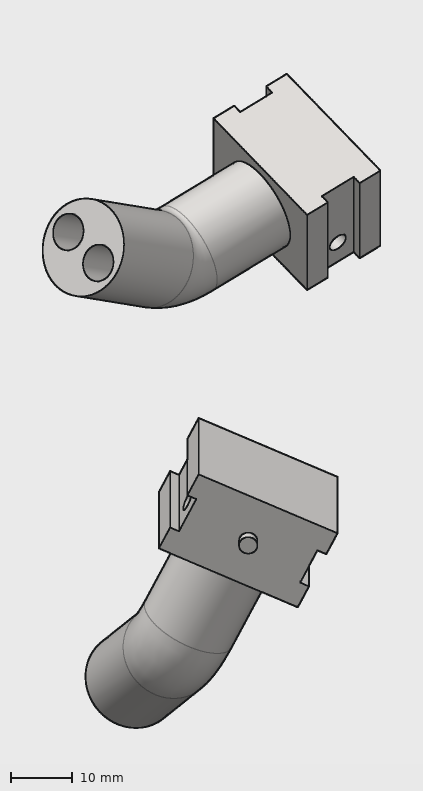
import cadquery as cq
import math

block_width = 25.0
block_depth = 15.0
block_height = 20.0

groove_width = 6.5
groove_depth = 1.6

cross_hole_diameter = 3.3
cross_hole_height = 5.15

pin_diameter = 3.0
pin_length = 1.6

arm_diameter = 16.0
neck_length = 15.0
bend_radius = 10.0
bend_angle = 45.0
end_length = 20.0

bore_diameter = 6.0
bore_spacing = 8.0
bore_depth = end_length

bend_angle_rad = math.radians(bend_angle)
axis_height = block_height / 2
block_front_y = -block_depth / 2
bend_start_y = block_front_y - neck_length
bend_end_y = bend_start_y - bend_radius * math.sin(bend_angle_rad)
bend_end_z = axis_height + bend_radius * (1 - math.cos(bend_angle_rad))
end_direction = cq.Vector(0, -math.cos(bend_angle_rad), math.sin(bend_angle_rad))
bend_end = cq.Vector(0, bend_end_y, bend_end_z)
end_face_center = bend_end + end_direction * end_length


def make_block():
    """Block with a full-height groove in each X side and a cross hole."""
    block = cq.Workplane("XY").box(
        block_width, block_depth, block_height, centered=(True, True, False)
    )
    grooves = (
        cq.Workplane("XY")
        .pushPoints([(-block_width / 2, 0), (block_width / 2, 0)])
        .rect(2 * groove_depth, groove_width)
        .extrude(block_height)
    )
    cross_hole = (
        cq.Workplane("YZ")
        .center(0, cross_hole_height)
        .circle(cross_hole_diameter / 2)
        .extrude(block_width / 2, both=True)
    )
    return block.cut(grooves).cut(cross_hole)


def make_pin():
    """Short pin hanging from the middle of the block's underside."""
    return cq.Workplane("XY").circle(pin_diameter / 2).extrude(-pin_length)


def make_arm():
    """Round arm: neck, bend turning upward, and inclined end."""
    neck = (
        cq.Workplane("XZ", origin=(0, block_front_y, axis_height))
        .circle(arm_diameter / 2)
        .extrude(neck_length)
    )
    bend = (
        cq.Workplane("XZ", origin=(0, bend_start_y, axis_height))
        .circle(arm_diameter / 2)
        .revolve(bend_angle, (1, bend_radius), (-1, bend_radius))
    )
    end_plane = cq.Plane(origin=bend_end, xDir=(1, 0, 0), normal=end_direction)
    end = cq.Workplane(end_plane).circle(arm_diameter / 2).extrude(end_length)
    return neck.union(bend).union(end)


def make_bores():
    """Two parallel blind bores running down the inclined end from its face."""
    face_plane = cq.Plane(origin=end_face_center, xDir=(1, 0, 0), normal=end_direction)
    return (
        cq.Workplane(face_plane)
        .pushPoints([(-bore_spacing / 2, 0), (bore_spacing / 2, 0)])
        .circle(bore_diameter / 2)
        .extrude(-bore_depth)
    )


result = make_block().union(make_pin()).union(make_arm()).cut(make_bores())